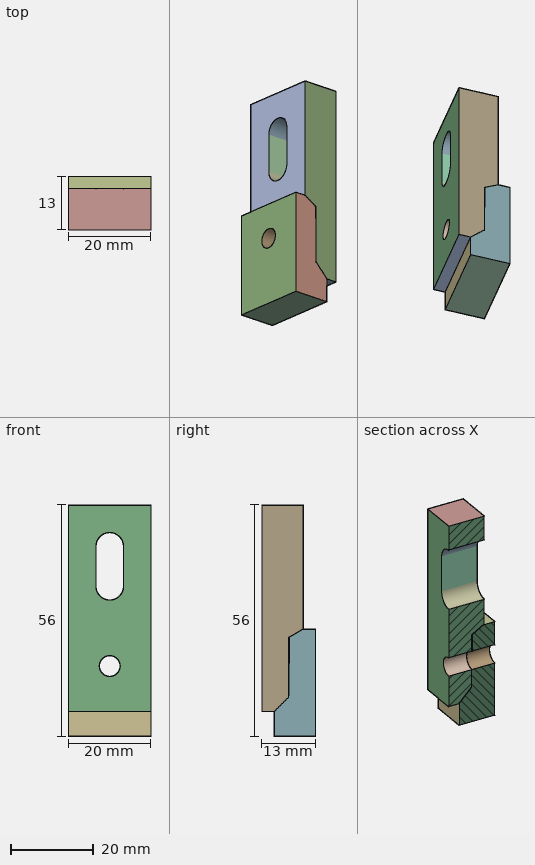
import cadquery as cq
import math

width = 20.0
depth = 13.0
height = 56.0

plate_thickness = 10.0
front_plate_bottom = 6.0
back_plate_top = 26.0
back_plate_front = depth - plate_thickness

joint_y = (back_plate_front + plate_thickness) / 2
joint_offset = joint_y - back_plate_front
lower_bevel_angle = 45.0
upper_bevel_angle = 30.0
joint_bottom = front_plate_bottom + joint_offset * math.tan(math.radians(lower_bevel_angle))
joint_top = back_plate_top - joint_offset * math.tan(math.radians(upper_bevel_angle))

relief = 0.1
relieved_y = joint_y + relief
relieved_top = joint_top + relief * math.tan(math.radians(upper_bevel_angle))

slot_width = 6.6
slot_length = 16.3
slot_center_z = 41.15
hole_diameter = 5.0
hole_center_z = 17.0


def extruded_profile(points):
    """Extrude a closed (Y, Z) outline across the width, centred on X."""
    return cq.Workplane("YZ").polyline(points).close().extrude(width / 2, both=True)


def bolt_hole():
    """Round cutter running through both plates."""
    return (
        cq.Workplane("XZ")
        .center(0, hole_center_z)
        .circle(hole_diameter / 2)
        .extrude(-depth)
    )


def adjustment_slot():
    """Upright slot cutter with round ends."""
    return (
        cq.Workplane("XZ")
        .center(0, slot_center_z)
        .slot2D(slot_length, slot_width, 90)
        .extrude(-depth)
    )


def make_front_plate():
    """Tall plate with a bevelled recess in its back, a slot and a hole."""
    plate = extruded_profile([
        (0, front_plate_bottom),
        (back_plate_front, front_plate_bottom),
        (joint_y, joint_bottom),
        (joint_y, joint_top),
        (plate_thickness, back_plate_top),
        (plate_thickness, height),
        (0, height),
    ])
    return plate.cut(adjustment_slot()).cut(bolt_hole())


def make_back_plate():
    """Short plate whose bevelled front seats against the front plate."""
    plate = extruded_profile([
        (back_plate_front, 0),
        (depth, 0),
        (depth, back_plate_top),
        (plate_thickness, back_plate_top),
        (relieved_y, relieved_top),
        (joint_y, joint_bottom),
        (back_plate_front, front_plate_bottom),
    ])
    return plate.cut(bolt_hole())


front_plate = make_front_plate()
back_plate = make_back_plate()

result = cq.Compound.makeCompound([front_plate.val(), back_plate.val()])